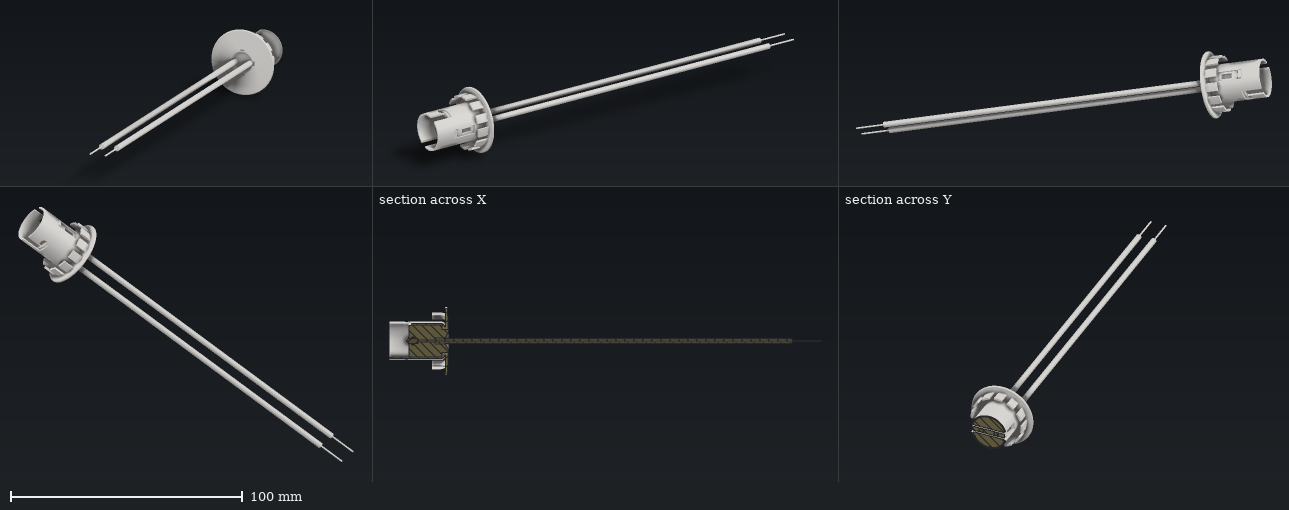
import cadquery as cq


TUBE_RADIUS = 8.4
TUBE_WALL = 0.7
TUBE_BORE_RADIUS = TUBE_RADIUS - TUBE_WALL
TUBE_FOOT_ROUND = 1.7
FLOOR_DEPTH = 22.4
FLANGE_RADIUS = 14.63
FLANGE_FRONT_DEPTH = 23.9
FLANGE_THICKNESS = 1.1
FLANGE_BACK_DEPTH = FLANGE_FRONT_DEPTH + FLANGE_THICKNESS
FLANGE_CONE_RISE = 0.4
SHELL_END_DEPTH = FLANGE_BACK_DEPTH + FLANGE_CONE_RISE
NECK_RADIUS = 6.0

SLOT_LEFT = -4.8
SLOT_RIGHT = -2.0
LOCK_RADIUS = 1.9
LOCK_DEPTH = 7.3
SLOT_END_DEPTH = LOCK_DEPTH + LOCK_RADIUS

WINDOW_HALF_WIDTH = 2.0
WINDOW_START_DEPTH = 8.0
WINDOW_END_DEPTH = 19.0
WINDOW_CORNER_RADIUS = 0.5

FINGER_COUNT = 12
FINGER_ANGLE = 18
FINGER_FIRST_ANGLE = -3
FINGER_RADIUS = 12.3
FINGER_THICKNESS = 1.0
FINGER_HEIGHT = 5.5
FINGER_UNDERCUT_HEIGHT = 1.7
FINGER_UNDERCUT = 0.47

INSULATOR_FACE_DEPTH = 8.2
LUG_RADIUS = 8.5
LUG_HALF_WIDTH = 1.7
LUG_LENGTH = 1.5
LUG_END_DEPTH = WINDOW_START_DEPTH + LUG_LENGTH
RELIEF_INNER = 1.1
RELIEF_LENGTH = 1.1
POCKET_START_DEPTH = 12.7
POCKET_END_DEPTH = 17.5
POCKET_HALF_WIDTH = 1.1
POCKET_FLOOR = 6.1
DISH_RIM_RADIUS = 5.0
DISH_FLOOR_RADIUS = 4.0
DISH_DEPTH = 1.1
NOTCH_COUNT = 4
NOTCH_WIDTH = 2.2
NOTCH_DEPTH = 1.1

WIRE_OFFSET = 3.5
CONTACT_RADIUS = 1.0
CONTACT_TIP_DEPTH = 7.0
CONTACT_END_DEPTH = 12.1
SLEEVE_RADIUS = 1.25
SLEEVE_START_DEPTH = 19.5
SLEEVE_END_DEPTH = 173.7
WIRE_ENTRY_RADIUS = 1.9
WIRE_ENTRY_LENGTH = 1.9
CONDUCTOR_RADIUS = 0.4
CONDUCTOR_END_DEPTH = 186.4


def rod(radius, start_depth, end_depth, x=0):
    """Cylinder along Y between two depths."""
    length = end_depth - start_depth
    plane = cq.Plane(origin=(x, -start_depth, 0), xDir=(-1, 0, 0), normal=(0, -1, 0))
    return cq.Workplane(plane).circle(radius).extrude(length)


def block(x_range, depth_range, z_range):
    """Box given by its limits along X, depth and Z."""
    (x0, x1), (d0, d1), (z0, z1) = x_range, depth_range, z_range
    center = ((x0 + x1) / 2, -(d0 + d1) / 2, (z0 + z1) / 2)
    return cq.Workplane("XY").box(x1 - x0, d1 - d0, z1 - z0).translate(center)


def turned(points):
    """Solid of revolution about Y from (radius, depth) points."""
    outline = [(radius, -depth) for radius, depth in points]
    return cq.Workplane("XY").polyline(outline).close().revolve(360, (0, 0, 0), (0, 1, 0))


def spin(shape, angle):
    """Shape turned about the Y axis."""
    return shape.rotate((0, 0, 0), (0, 1, 0), angle)


def make_flange():
    """Plate with a fully rounded rim and a shallow cone on its back."""
    rim_round = FLANGE_THICKNESS / 2
    edge_radius = FLANGE_RADIUS - rim_round
    outline = (
        cq.Workplane("XY")
        .moveTo(0, -FLANGE_FRONT_DEPTH)
        .lineTo(edge_radius, -FLANGE_FRONT_DEPTH)
        .threePointArc(
            (FLANGE_RADIUS, -(FLANGE_FRONT_DEPTH + rim_round)),
            (edge_radius, -FLANGE_BACK_DEPTH),
        )
        .lineTo(NECK_RADIUS, -SHELL_END_DEPTH)
        .lineTo(0, -SHELL_END_DEPTH)
        .close()
    )
    return outline.revolve(360, (0, 0, 0), (0, 1, 0))


def make_finger():
    """Snap finger on the -X side: a piece of thin ring, undercut next to the flange."""
    inner = FINGER_RADIUS - FINGER_THICKNESS
    undercut_radius = FINGER_RADIUS - FINGER_UNDERCUT
    outline = [
        (-inner, -(FLANGE_FRONT_DEPTH - FINGER_HEIGHT)),
        (-FINGER_RADIUS, -(FLANGE_FRONT_DEPTH - FINGER_HEIGHT)),
        (-FINGER_RADIUS, -(FLANGE_FRONT_DEPTH - FINGER_UNDERCUT_HEIGHT)),
        (-undercut_radius, -FLANGE_FRONT_DEPTH),
        (-inner, -FLANGE_FRONT_DEPTH),
    ]
    ring_piece = cq.Workplane("XY").polyline(outline).close()
    return spin(ring_piece.revolve(FINGER_ANGLE, (0, 0, 0), (0, 1, 0)), -FINGER_ANGLE / 2)


def make_bayonet_slot():
    """Cutter for one J-shaped slot through the +Z side of the tube."""
    through = (0, TUBE_RADIUS + 1.9)
    entry = block((SLOT_LEFT, SLOT_RIGHT), (0, SLOT_END_DEPTH), through)
    leg = block((SLOT_LEFT, 0), (LOCK_DEPTH, SLOT_END_DEPTH), through)
    lock = cq.Workplane("XY").center(0, -LOCK_DEPTH).circle(LOCK_RADIUS).extrude(through[1])
    return entry.union(leg).union(lock)


def make_shell():
    shell = rod(TUBE_RADIUS, 0, FLANGE_FRONT_DEPTH).faces("<Y").edges().fillet(TUBE_FOOT_ROUND)
    shell = shell.union(make_flange())
    for index in range(FINGER_COUNT):
        shell = shell.union(spin(make_finger(), FINGER_FIRST_ANGLE + index * 360 / FINGER_COUNT))
    shell = shell.cut(rod(TUBE_BORE_RADIUS, 0, FLOOR_DEPTH))
    shell = shell.cut(rod(NECK_RADIUS, FLOOR_DEPTH, SHELL_END_DEPTH))
    for angle in (0, 180):
        shell = shell.cut(spin(make_bayonet_slot(), angle))
    windows = block(
        (-TUBE_RADIUS, TUBE_RADIUS),
        (WINDOW_START_DEPTH, WINDOW_END_DEPTH),
        (-WINDOW_HALF_WIDTH, WINDOW_HALF_WIDTH),
    )
    return shell.cut(windows.edges("|X").fillet(WINDOW_CORNER_RADIUS))


def make_contact(x):
    """Round pin with a domed tip standing out of the insulator face."""
    dome_start = CONTACT_TIP_DEPTH + CONTACT_RADIUS
    pin = rod(CONTACT_RADIUS, dome_start, CONTACT_END_DEPTH, x)
    return pin.union(cq.Workplane("XY").sphere(CONTACT_RADIUS).translate((x, -dome_start, 0)))


def make_conductor(x):
    return rod(CONDUCTOR_RADIUS, CONTACT_END_DEPTH, CONDUCTOR_END_DEPTH, x)


def make_sleeve(x):
    sleeve = rod(SLEEVE_RADIUS, SLEEVE_START_DEPTH, SLEEVE_END_DEPTH, x)
    return sleeve.cut(make_conductor(x))


def make_wire_entry(x):
    """Flared mouth of the hole where a wire leaves the insulator."""
    flare = turned([
        (0, SHELL_END_DEPTH - WIRE_ENTRY_LENGTH),
        (SLEEVE_RADIUS, SHELL_END_DEPTH - WIRE_ENTRY_LENGTH),
        (WIRE_ENTRY_RADIUS, SHELL_END_DEPTH),
        (0, SHELL_END_DEPTH),
    ])
    return flare.translate((x, 0, 0))


def make_insulator():
    body = rod(TUBE_BORE_RADIUS, INSULATOR_FACE_DEPTH, FLOOR_DEPTH)
    body = body.union(rod(NECK_RADIUS, FLOOR_DEPTH, SHELL_END_DEPTH))

    lug_bar = block(
        (-LUG_RADIUS, LUG_RADIUS),
        (INSULATOR_FACE_DEPTH, LUG_END_DEPTH),
        (-LUG_HALF_WIDTH, LUG_HALF_WIDTH),
    )
    body = body.union(lug_bar)

    for side in (-1, 1):
        z_range = sorted((side * RELIEF_INNER, side * LUG_HALF_WIDTH))
        relief_depths = (LUG_END_DEPTH, LUG_END_DEPTH + RELIEF_LENGTH)
        body = body.cut(block((-TUBE_RADIUS, TUBE_RADIUS), relief_depths, z_range))
        pocket_x = sorted((side * POCKET_FLOOR, side * TUBE_RADIUS))
        pocket_depths = (POCKET_START_DEPTH, POCKET_END_DEPTH)
        body = body.cut(block(pocket_x, pocket_depths, (-POCKET_HALF_WIDTH, POCKET_HALF_WIDTH)))

    dish = turned([
        (0, SHELL_END_DEPTH - DISH_DEPTH),
        (DISH_FLOOR_RADIUS, SHELL_END_DEPTH - DISH_DEPTH),
        (DISH_RIM_RADIUS, SHELL_END_DEPTH),
        (0, SHELL_END_DEPTH),
    ])
    body = body.cut(dish)
    notch = block(
        (DISH_RIM_RADIUS, NECK_RADIUS + 1.9),
        (SHELL_END_DEPTH - NOTCH_DEPTH, SHELL_END_DEPTH),
        (-NOTCH_WIDTH / 2, NOTCH_WIDTH / 2),
    )
    for index in range(NOTCH_COUNT):
        body = body.cut(spin(notch, index * 360 / NOTCH_COUNT))

    for x in (-WIRE_OFFSET, WIRE_OFFSET):
        body = body.cut(make_contact(x))
        body = body.cut(rod(CONDUCTOR_RADIUS, CONTACT_END_DEPTH, SLEEVE_START_DEPTH, x))
        body = body.cut(rod(SLEEVE_RADIUS, SLEEVE_START_DEPTH, SHELL_END_DEPTH, x))
        body = body.cut(make_wire_entry(x))
    return body


shell = make_shell()
insulator = make_insulator()
solids = [shell.val(), insulator.val()]
for wire_x in (-WIRE_OFFSET, WIRE_OFFSET):
    contact = make_contact(wire_x)
    sleeve = make_sleeve(wire_x)
    conductor = make_conductor(wire_x)
    solids += [contact.val(), sleeve.val(), conductor.val()]

result = cq.Compound.makeCompound(solids)